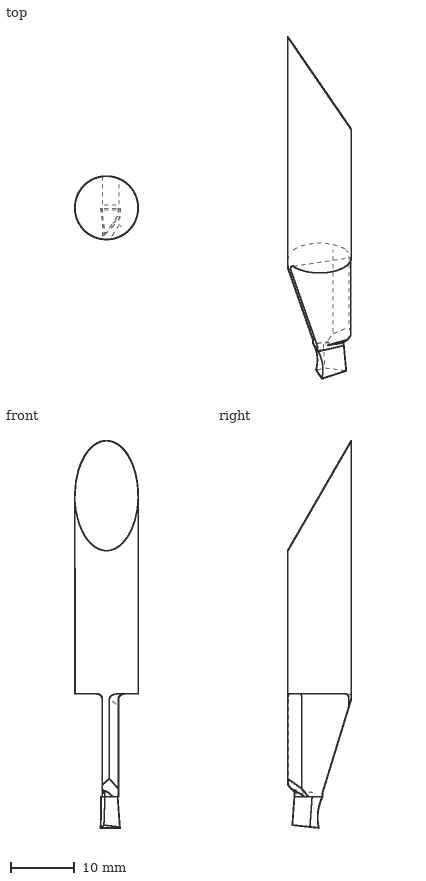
import cadquery as cq
import math


length = 60.9
radius = 5.0
top_angle = 60.0
shoulder_z = 21.1

blade_left = -0.7
blade_right = 1.9
shoulder_fillet = 0.85
relief_x = 0.455
relief_angle = 57.0
back_y = 0.5
taper_bottom_z = 5.55
taper_top_z = shoulder_z - shoulder_fillet

front_bevel_point = (blade_left, -4.95, 6.75)
front_bevel_normal = (-0.82, 1.24, 1.0)
rake_bevel_point = (blade_left, -4.0, 6.1)
rake_bevel_normal = (1.6, 0.15, 1.0)

head_top_z = 4.95
top_front_corner = (-0.25, -3.95)
top_back_x = -0.9
top_right_x = 1.75
bottom_front_corner = (-0.4, -4.3)
bottom_back_x = -1.05
bottom_right_x = 2.15
root_height = 1.05
heel_z = 0.455
heel_y = bottom_front_corner[1]
tip_y = -0.09
waist_y = -0.275
waist_z = 1.7
clearance_depth = 2.8
clearance_bulge = 0.05

cutter_size = 3 * radius


def side_cutter(x, y, direction):
    """Space beside a blade face through (x, y), to the right of its direction in degrees."""
    fillet_middle = shoulder_fillet * (1 - math.sqrt(0.5))
    start_plane = cq.Plane(
        origin=(x, y, 0),
        xDir=(math.sin(math.radians(direction)), -math.cos(math.radians(direction)), 0),
        normal=(-math.cos(math.radians(direction)), -math.sin(math.radians(direction)), 0),
    )
    return (
        cq.Workplane(start_plane)
        .lineTo(0, shoulder_z - shoulder_fillet)
        .threePointArc((fillet_middle, shoulder_z - fillet_middle), (shoulder_fillet, shoulder_z))
        .lineTo(cutter_size, shoulder_z)
        .lineTo(cutter_size, 0)
        .close()
        .extrude(cutter_size, both=True)
    )


def space_below(point, normal):
    """Block of space below an inclined plane."""
    plane = cq.Plane(origin=point, xDir=(normal[2], 0, -normal[0]), normal=normal)
    return cq.Workplane(plane).rect(2 * cutter_size, 2 * cutter_size).extrude(-cutter_size)


def head_section(sketch, front_left, back_left_x, right_x):
    """Plan outline of the head: flat rake face on the left, rounded clearance at the front."""
    front_x, front_y = front_left
    corner_y = front_y + clearance_depth
    arc_middle = ((front_x + right_x) / 2 + clearance_bulge, (front_y + corner_y) / 2 - clearance_bulge)
    return (
        sketch.moveTo(front_x, front_y)
        .threePointArc(arc_middle, (right_x, corner_y))
        .lineTo(right_x, back_y)
        .lineTo(back_left_x, back_y)
        .close()
    )


def top_head_section(sketch):
    return head_section(sketch, top_front_corner, top_back_x, top_right_x)


def bottom_head_section(sketch):
    return head_section(sketch, bottom_front_corner, bottom_back_x, bottom_right_x)


def oblique_shank():
    """Full-length round bar, cut obliquely at the top."""
    low_side_z = length - 2 * radius * math.tan(math.radians(top_angle))
    side_outline = [
        (-radius, head_top_z),
        (radius, head_top_z),
        (radius, length),
        (-radius, low_side_z),
    ]
    profile = cq.Workplane("YZ").polyline(side_outline).close().extrude(radius, both=True)
    return cq.Workplane("XY").circle(radius).extrude(length).intersect(profile)


def back_taper():
    """Space behind the tapered back edge of the blade."""
    outline = [
        (radius, taper_top_z),
        (back_y, taper_bottom_z),
        (back_y, 0),
        (cutter_size, 0),
        (cutter_size, taper_top_z),
    ]
    return cq.Workplane("YZ").polyline(outline).close().extrude(cutter_size, both=True)


def make_holder():
    relief_y = -math.sqrt(radius**2 - relief_x**2)
    holder = oblique_shank()
    holder = holder.cut(side_cutter(blade_left, 0, -90))
    holder = holder.cut(side_cutter(blade_right, 0, 90))
    holder = holder.cut(side_cutter(relief_x, relief_y, relief_angle))
    holder = holder.cut(back_taper())
    holder = holder.cut(space_below(front_bevel_point, front_bevel_normal))
    holder = holder.cut(space_below(rake_bevel_point, rake_bevel_normal))

    root = top_head_section(cq.Workplane("XY").workplane(offset=head_top_z)).extrude(root_height)
    root = root.cut(side_cutter(blade_left, 0, -90))
    return holder.union(root)


def make_cutting_head():
    blank = bottom_head_section(cq.Workplane("XY"))
    blank = top_head_section(blank.workplane(offset=head_top_z)).loft(ruled=True)
    profile = (
        cq.Workplane("YZ")
        .moveTo(-radius, head_top_z)
        .lineTo(-radius, heel_z)
        .lineTo(heel_y, heel_z)
        .lineTo(tip_y, 0)
        .threePointArc((waist_y, waist_z), (back_y, head_top_z))
        .close()
        .extrude(radius, both=True)
    )
    return blank.intersect(profile)


holder = make_holder()
cutting_head = make_cutting_head()

result = cq.Compound.makeCompound([holder.solids().val(), cutting_head.solids().val()])